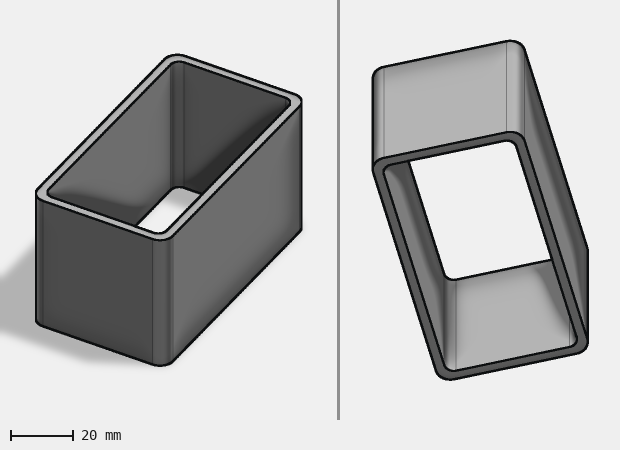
import cadquery as cq

width = 50.0
length = 90.0
height = 50.0

wall = 3.15
outer_radius = 4.8
inner_radius = 3.15


def rounded_block(size_x, size_y, corner_radius):
    """Upright block, full tube height, with rounded vertical edges."""
    block = cq.Workplane("XY").rect(size_x, size_y).extrude(height)
    return block.edges("|Z").fillet(corner_radius)


outer = rounded_block(width, length, outer_radius)

opening = rounded_block(width - 2 * wall, length - 2 * wall, inner_radius)

result = outer.cut(opening)